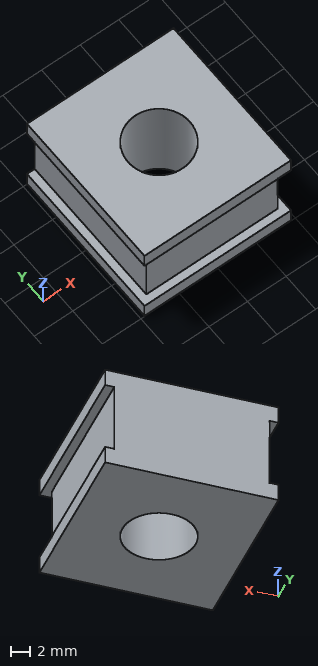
import cadquery as cq

width = 19.0
depth = 20.0
height = 12.0

flange_thickness = 2.0
core_inset = 1.0
bore_diameter = 8.0

core_width = width - 2 * core_inset
core_depth = depth - core_inset
core_height = height - 2 * flange_thickness


def make_flange(bottom_z):
    """Full-size rectangular plate with its underside at bottom_z."""
    return cq.Workplane("XY").workplane(offset=bottom_z).rect(width, depth).extrude(flange_thickness)


def make_core():
    """Block joining the two flanges, shifted so its +Y face is flush with theirs."""
    return (
        cq.Workplane("XY")
        .workplane(offset=flange_thickness)
        .center(0, core_inset / 2)
        .rect(core_width, core_depth)
        .extrude(core_height)
    )


def make_bore():
    """Vertical through hole at the centre of the flanges."""
    return cq.Workplane("XY").circle(bore_diameter / 2).extrude(height)


bottom_flange = make_flange(0)
top_flange = make_flange(height - flange_thickness)
result = bottom_flange.union(make_core()).union(top_flange).cut(make_bore())